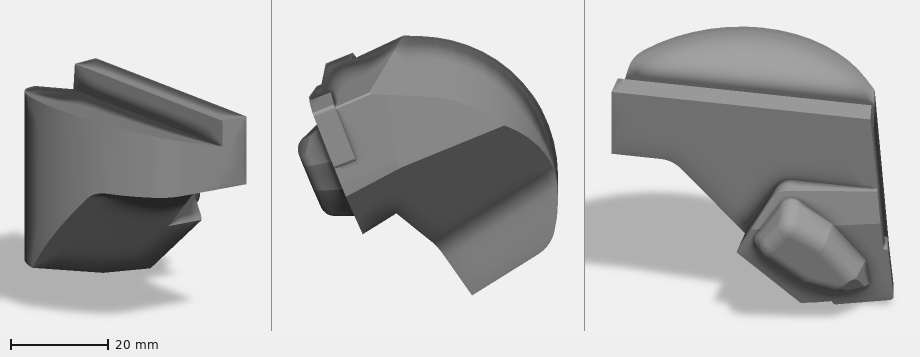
import cadquery as cq
import math


HEAD_RADIUS = 31.5
HEAD_END_X = 25.0
END_ROUND_RADIUS = 8.0
TANGENT_ANGLE = 220.0
LEFT_REACH = 45.0
REAR_REACH = 20.0

RIB_WIDTH = 6.0
CREST_Z = 1.27
SLOPE = math.tan(math.radians(15.0))
LEDGE_Z = -16.1
HEEL_Y = -8.6
HEEL_Z = -41.05
BOTTOM_SLOPE = math.tan(math.radians(6.0))

END_BOTTOM_Z = -14.48
UNDERCUT_Z = -26.6
UNDERCUT_ROUND = 6.0

BLOCK_END_X = -3.15
BLOCK_SHOULDER_X = -10.9
BLOCK_SLOPE = math.tan(math.radians(60.0))
SHOULDER_ROUND = 4.0
BLOCK_END_ROUND = 4.5

FLANK_X = -29.6
FLANK_Y_LEAN = 0.185
FLANK_Z_LEAN = 0.097

RELIEF_POINT = (-31.0, 1.1, LEDGE_Z)
RELIEF_X_LEAN = 0.21
RELIEF_Z_LEAN = 0.235

INSERT_SIZE = 12.7
INSERT_THICKNESS = 4.76
INSERT_NOSE_RADIUS = 0.8
INSERT_OVERHANG = 0.9
NOSE_FLAT = 0.55
TIP = cq.Vector(-34.55, -0.05, -41.65)
EDGE_UP = cq.Vector(0.072, 0.119, 1.0).normalized()
RAKE_NORMAL = cq.Vector(-0.228, 1.0, -0.1026).normalized()
EDGE_ALONG = RAKE_NORMAL.cross(EDGE_UP)

DIAGONAL = (EDGE_UP + EDGE_ALONG).normalized()
FINGER_START = 4.5
FINGER_UPPER_SIDE = [(10.4, 4.8), (20.0, 10.8), (30.2, 23.0)]
FINGER_LOWER_SIDE = [(21.5, 33.0), (7.5, 19.0), (4.5, 12.0)]
FINGER_END_DISTANCE = 32.4
FINGER_END_DRAFT = 6.0
FINGER_NOSE_DISTANCE = 4.5
FINGER_NOSE_PITCH = 36.0
FINGER_CORNERS_FROM = 26.0
FINGER_HEIGHT = 6.0
FINGER_DRAFT = 22.0
FINGER_ROOT = 3.0
FINGER_CORNER_ROUND = 3.0
FINGER_CROWN_ROUND = 3.0

BIG = 200.0


def half_space(point, normal):
    """A large block filling the side of the plane that the normal points to."""
    return cq.Workplane(cq.Plane(origin=point, normal=normal)).rect(BIG, BIG).extrude(BIG)


def on_rake():
    """Workplane on the rake face, origin at the insert corner: x up one edge, y along the other."""
    return cq.Workplane(cq.Plane(origin=TIP, xDir=EDGE_UP, normal=RAKE_NORMAL))


def polar(radius, degrees):
    return (radius * math.cos(math.radians(degrees)), radius * math.sin(math.radians(degrees)))


def plan_block():
    """Stock with the plan shape of the head: round back, rounded end, flat tangent flank."""
    round_x = HEAD_END_X - END_ROUND_RADIUS
    round_y = -math.sqrt((HEAD_RADIUS - END_ROUND_RADIUS) ** 2 - round_x**2)
    contact_angle = math.degrees(math.atan2(round_y, round_x))
    contact = polar(HEAD_RADIUS, contact_angle)
    corner = polar(END_ROUND_RADIUS, contact_angle / 2)
    tangent = polar(HEAD_RADIUS, TANGENT_ANGLE)
    flank_slope = 1 / math.tan(math.radians(TANGENT_ANGLE - 180.0))
    flank_end_y = tangent[1] + (LEFT_REACH + tangent[0]) * flank_slope
    return (
        cq.Workplane("XY", origin=(0, 0, -BIG / 2))
        .moveTo(HEAD_END_X, REAR_REACH)
        .lineTo(HEAD_END_X, round_y)
        .threePointArc((round_x + corner[0], round_y + corner[1]), contact)
        .threePointArc((0, -HEAD_RADIUS), tangent)
        .lineTo(-LEFT_REACH, flank_end_y)
        .lineTo(-LEFT_REACH, REAR_REACH)
        .close()
        .extrude(BIG)
    )


def height_profile():
    """Rib, sloping top, ledge and the two-part bottom, along the whole head."""
    front_y = -HEAD_RADIUS
    points = [
        (0, 0),
        (-RIB_WIDTH, 0),
        (-RIB_WIDTH, CREST_Z - SLOPE * (HEAD_RADIUS - RIB_WIDTH)),
        (front_y, CREST_Z),
        (front_y, HEEL_Z + SLOPE * (HEEL_Y - front_y)),
        (HEEL_Y, HEEL_Z),
        (REAR_REACH, HEEL_Z - BOTTOM_SLOPE * (REAR_REACH - HEEL_Y)),
        (REAR_REACH, LEDGE_Z),
        (0, LEDGE_Z),
    ]
    return cq.Workplane("YZ", origin=(-BIG / 2, 0, 0)).polyline(points).close().extrude(BIG)


def underside_cut():
    """The 45 degree undercut and the flat below the far end, joined by a round."""
    bend_x = END_BOTTOM_Z - UNDERCUT_Z
    points = [
        (HEAD_END_X + 1, END_BOTTOM_Z),
        (bend_x, END_BOTTOM_Z),
        (bend_x - BIG, END_BOTTOM_Z - BIG),
        (HEAD_END_X + 1, END_BOTTOM_Z - BIG),
    ]
    cut = cq.Workplane("XZ", origin=(0, BIG / 2, 0)).polyline(points).close().extrude(BIG)
    bend = cq.selectors.NearestToPointSelector((bend_x, 0, END_BOTTOM_Z))
    return cut.edges("|Y").edges(bend).fillet(UNDERCUT_ROUND)


def block_end_cut():
    """Space beyond the seat block: past the rounded, steep shoulder and the block end."""
    corner_z = LEDGE_Z - (BLOCK_END_X - BLOCK_SHOULDER_X) * BLOCK_SLOPE
    points = [
        (-BIG, LEDGE_Z),
        (BLOCK_SHOULDER_X, LEDGE_Z),
        (BLOCK_END_X, corner_z),
        (BLOCK_END_X, -BIG),
        (BIG, -BIG),
        (BIG, BIG),
        (-BIG, BIG),
    ]
    cut = cq.Workplane("XZ").polyline(points).close().extrude(-REAR_REACH - 1)
    shoulder = cq.selectors.NearestToPointSelector((BLOCK_SHOULDER_X, REAR_REACH / 2, LEDGE_Z))
    end = cq.selectors.NearestToPointSelector((BLOCK_END_X, REAR_REACH / 2, corner_z))
    cut = cut.edges("|Y").edges(shoulder).fillet(SHOULDER_ROUND)
    return cut.edges("|Y").edges(end).fillet(BLOCK_END_ROUND)


def finger_stage(height, draft):
    """Finger outline extruded from the rake face, with a flat end and rounded corners."""
    outline = [(FINGER_START, FINGER_START), *FINGER_UPPER_SIDE, *FINGER_LOWER_SIDE]
    stage = on_rake().polyline(outline).close().extrude(height, taper=draft)

    end_angle = math.radians(FINGER_END_DRAFT)
    end_normal = DIAGONAL * math.cos(end_angle) + RAKE_NORMAL * math.sin(end_angle)
    stage = stage.cut(half_space(TIP + DIAGONAL * FINGER_END_DISTANCE, end_normal))

    def is_end_corner(edge):
        rises = abs(edge.tangentAt(0).dot(RAKE_NORMAL)) > 0.5
        return rises and (edge.Center() - TIP).dot(DIAGONAL) > FINGER_CORNERS_FROM

    return stage.edges().filter(is_end_corner).fillet(FINGER_CORNER_ROUND)


def make_finger():
    """Drafted clamp finger: rounded crown, sloping nose and a straight root into the head."""
    top = finger_stage(FINGER_HEIGHT, FINGER_DRAFT)
    crown_face = top.faces(cq.selectors.DirectionMinMaxSelector(RAKE_NORMAL, True))
    top = crown_face.edges().fillet(FINGER_CROWN_ROUND)
    nose_angle = math.radians(FINGER_NOSE_PITCH)
    nose_normal = RAKE_NORMAL * math.cos(nose_angle) - DIAGONAL * math.sin(nose_angle)
    top = top.cut(half_space(TIP + DIAGONAL * FINGER_NOSE_DISTANCE, nose_normal))
    return top.union(finger_stage(-FINGER_ROOT, 0))


def make_insert():
    return (
        on_rake()
        .rect(INSERT_SIZE, INSERT_SIZE, centered=False)
        .extrude(-INSERT_THICKNESS)
        .edges(cq.selectors.ParallelDirSelector(RAKE_NORMAL))
        .fillet(INSERT_NOSE_RADIUS)
    )


def make_head(insert):
    flank_out = cq.Vector(-1, -FLANK_Y_LEAN, FLANK_Z_LEAN).normalized()
    bottom_out = EDGE_UP * -1
    bottom_point = TIP + EDGE_UP * INSERT_OVERHANG
    nose_out = (flank_out + bottom_out).normalized()
    flank_gap = flank_out.dot(cq.Vector(FLANK_X, 0, 0) - bottom_point)
    into = flank_out - bottom_out * flank_out.dot(bottom_out)
    nose_line = bottom_point + into * (flank_gap / into.dot(flank_out))
    nose_point = nose_line - nose_out * (NOSE_FLAT / 2)

    head = plan_block().intersect(height_profile())
    head = head.cut(underside_cut()).cut(block_end_cut())
    head = head.cut(half_space(TIP, RAKE_NORMAL))
    relief = half_space(RELIEF_POINT, (-RELIEF_X_LEAN, 1, RELIEF_Z_LEAN))
    head = head.cut(relief.cut(half_space((0, 0, LEDGE_Z), (0, 0, 1))))
    head = head.cut(half_space((FLANK_X, 0, 0), flank_out))
    head = head.cut(half_space(bottom_point, bottom_out))
    head = head.cut(half_space(nose_point, nose_out))
    return head.union(make_finger()).cut(insert)


insert = make_insert()
head = make_head(insert)
result = cq.Compound.makeCompound([head.val(), insert.val()])